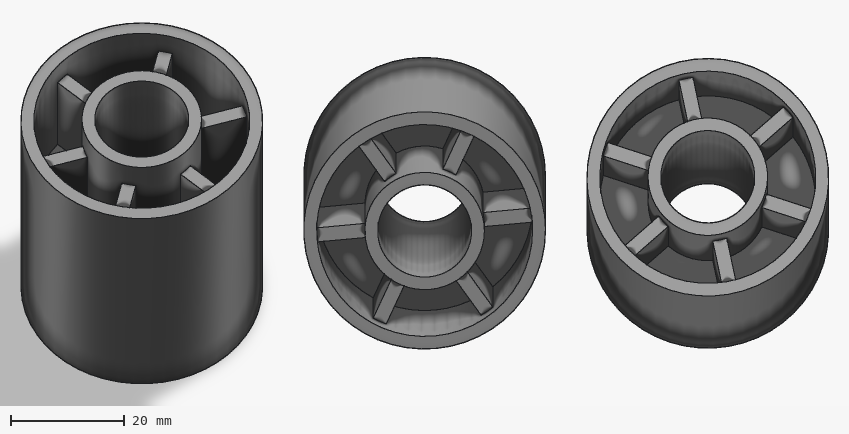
import cadquery as cq

hub_length = 50.5
hub_diameter = 21.0
bore_diameter = 16.5
rim_length = 49.5
rim_diameter = 42.5
rim_inner_diameter = 38.0
rib_count = 6
rib_width = 2.5
rib_recess = 5.0
web_thickness = 2.5

rib_height = rim_length - 2 * rib_recess
rib_start = (bore_diameter + hub_diameter) / 4
rib_end = (rim_inner_diameter + rim_diameter) / 4


def ring(outer_diameter, inner_diameter, length):
    """A tube along Z, centred on the origin."""
    profile = cq.Workplane("XY", origin=(0, 0, -length / 2)).circle(outer_diameter / 2)
    return profile.circle(inner_diameter / 2).extrude(length)


def rib(angle):
    """A radial rib joining the hub to the rim."""
    block = cq.Workplane("XY").box(rib_end - rib_start, rib_width, rib_height)
    placed = block.translate(((rib_start + rib_end) / 2, 0, 0))
    return placed.rotate((0, 0, 0), (0, 0, 1), angle)


hub = ring(hub_diameter, bore_diameter, hub_length)
rim = ring(rim_diameter, rim_inner_diameter, rim_length)
web = ring(2 * rib_end, 2 * rib_start, web_thickness)

result = hub.union(rim).union(web)
for index in range(rib_count):
    result = result.union(rib((index + 0.5) * 360 / rib_count))